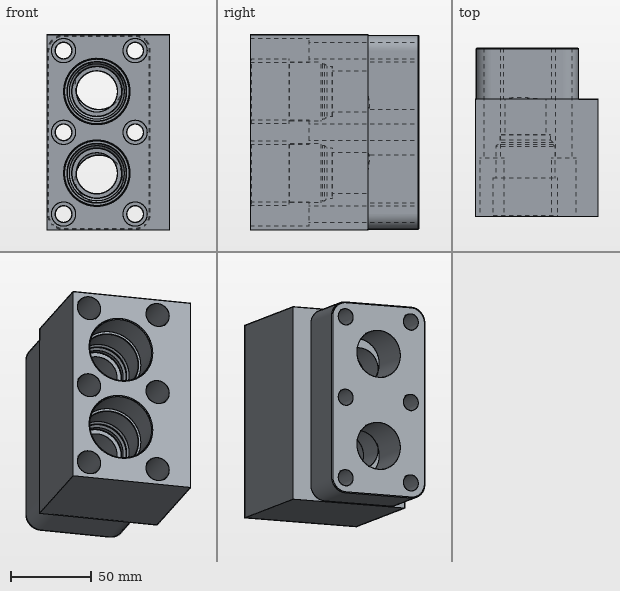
import cadquery as cq
import math

block_width = 76.1
block_depth = 73.0
block_height = 121.5

total_depth = 104.8
body_inset = 0.5
body_width = 63.6
body_height = block_height - 2 * body_inset
body_corner_radius = 9.5
body_edge_chamfer = 0.6
body_center_x = body_inset + body_width / 2

bolt_spacing_x = 44.5
bolt_spacing_z = 50.8
bolt_diameter = 10.2
bolt_head_diameter = 15.0
bolt_head_depth = 36.4
bolt_center_x = 32.5

port_center_x = 31.0
port_spacing_z = bolt_spacing_z
mouth_radius = 20.6
mouth_chamfer = 0.6
shoulder_depth = 23.9
seat_radius = 18.3
seat_depth = 43.7
step_radius = 17.1
step_depth = 46.1
port_floor_radius = 15.4
port_floor_depth = 51.0
bore_edge_chamfer = 0.2
drill_radius = 12.8
drill_point_angle = 118.0
outlet_radius = 14.8
outlet_spacing_z = 58.0
outlet_depth = total_depth - block_depth


def make_block():
    return cq.Workplane("XY").box(block_width, block_depth, block_height, centered=(False, False, True))


def make_body():
    """Round-cornered body with a chamfered back edge."""
    body = cq.Workplane("XY").box(
        body_width, total_depth - block_depth, body_height, centered=(True, False, True)
    )
    body = body.edges("|Y").fillet(body_corner_radius)
    body = body.faces(">Y").chamfer(body_edge_chamfer)
    return body.translate((body_center_x, block_depth, 0))


def make_bolt_cutter(x, z):
    """Through hole with a counterbore sunk from the front face."""
    plane = cq.Workplane("XZ", origin=(x, 0, z))
    hole = plane.circle(bolt_diameter / 2).extrude(-total_depth)
    head = plane.circle(bolt_head_diameter / 2).extrude(-bolt_head_depth)
    return hole.union(head)


def make_port_cutter(z):
    """Stepped bore, turned around the Y axis."""
    bore_radius = mouth_radius - mouth_chamfer
    neck_radius = port_floor_radius + bore_edge_chamfer
    profile = [
        (0, 0),
        (mouth_radius, 0),
        (bore_radius, mouth_chamfer),
        (bore_radius, shoulder_depth),
        (seat_radius + bore_edge_chamfer, shoulder_depth),
        (seat_radius, shoulder_depth + bore_edge_chamfer),
        (seat_radius, seat_depth),
        (step_radius, seat_depth + seat_radius - step_radius),
        (step_radius, step_depth),
        (neck_radius, step_depth + step_radius - neck_radius),
        (neck_radius, port_floor_depth - bore_edge_chamfer),
        (port_floor_radius, port_floor_depth),
        (0, port_floor_depth),
    ]
    port = cq.Workplane("XY").polyline(profile).close().revolve(360, (0, 0, 0), (0, 1, 0))
    return port.translate((port_center_x, 0, z))


def make_drill_cutter(z):
    """Drilled passage with a conical point that runs out inside the outlet bore."""
    drill_depth = total_depth - outlet_depth
    point_length = drill_radius / math.tan(math.radians(drill_point_angle / 2))
    profile = [
        (0, 0),
        (drill_radius, 0),
        (drill_radius, drill_depth),
        (0, drill_depth + point_length),
    ]
    drill = cq.Workplane("XY").polyline(profile).close().revolve(360, (0, 0, 0), (0, 1, 0))
    return drill.translate((port_center_x, 0, z))


def make_outlet_cutter(z):
    """Plain bore sunk from the back face."""
    plane = cq.Workplane("XZ", origin=(body_center_x, total_depth, z))
    return plane.circle(outlet_radius).extrude(outlet_depth)


result = make_block().union(make_body())

for x_side in (-1, 1):
    for row in (-1, 0, 1):
        bolt_x = bolt_center_x + x_side * bolt_spacing_x / 2
        result = result.cut(make_bolt_cutter(bolt_x, row * bolt_spacing_z))

for z_side in (-1, 1):
    port_z = z_side * port_spacing_z / 2
    outlet_z = z_side * outlet_spacing_z / 2
    result = result.cut(make_port_cutter(port_z))
    result = result.cut(make_drill_cutter(port_z))
    result = result.cut(make_outlet_cutter(outlet_z))